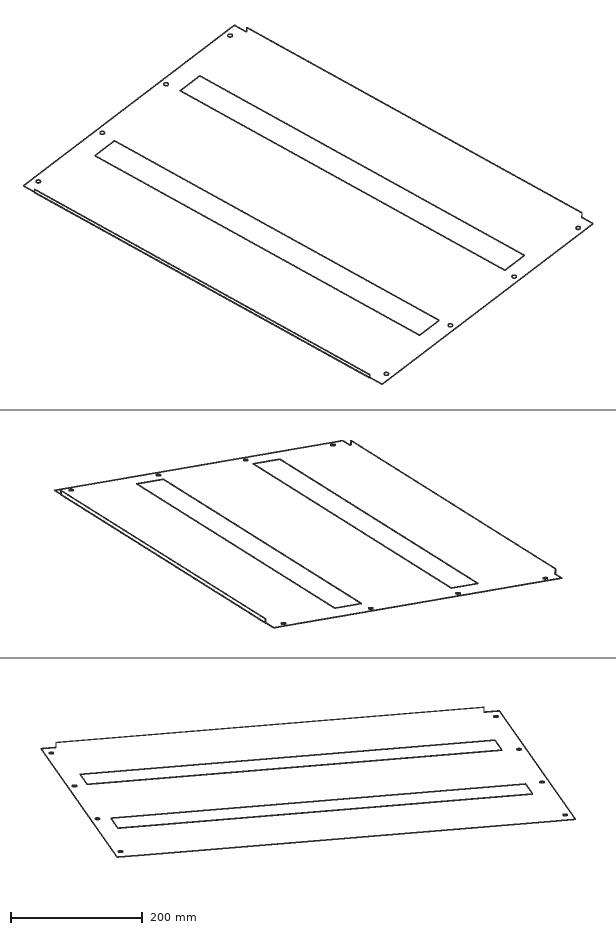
import cadquery as cq

length = 717.0
width = 499.0
height = 8.0
thickness = 1.0
outer_bend_radius = 2.0
inner_bend_radius = outer_bend_radius - thickness

flange_length = 670.0
corner_setback = outer_bend_radius

window_length = 649.0
window_width = 46.0
window_pitch = 200.0
window_offset = 3.0

hole_diameter = 7.0
hole_edge_distance = 11.0
hole_pitch = 150.0
holes_per_side = 4


def make_plate():
    """Flat sheet, stopping where the flange bends begin."""
    plate_width = width - 2 * corner_setback
    return cq.Workplane("XY").box(length, plate_width, thickness, centered=(True, True, False))


def make_flange():
    """Bent flange on the +Y edge, extruded along X."""
    outer_y = width / 2
    inner_y = outer_y - thickness
    bend_y = outer_y - outer_bend_radius
    return (
        cq.Workplane("YZ", origin=(-flange_length / 2, 0, 0))
        .moveTo(bend_y, 0)
        .radiusArc((outer_y, outer_bend_radius), -outer_bend_radius)
        .lineTo(outer_y, height)
        .lineTo(inner_y, height)
        .lineTo(inner_y, outer_bend_radius)
        .radiusArc((bend_y, thickness), inner_bend_radius)
        .close()
        .extrude(flange_length)
    )


def make_windows():
    """Two rectangular cutters, set slightly toward +X."""
    return (
        cq.Workplane("XY", origin=(window_offset, 0, 0))
        .rarray(7, window_pitch, 1, 2)
        .rect(window_length, window_width)
        .extrude(thickness)
    )


def make_holes():
    """Round cutters for one row of holes on each short edge."""
    column_spacing = length - 2 * hole_edge_distance
    return (
        cq.Workplane("XY")
        .rarray(column_spacing, hole_pitch, 2, holes_per_side)
        .circle(hole_diameter / 2)
        .extrude(thickness)
    )


flange = make_flange()
panel = make_plate().union(flange).union(flange.mirror("XZ"))
result = panel.cut(make_windows()).cut(make_holes())